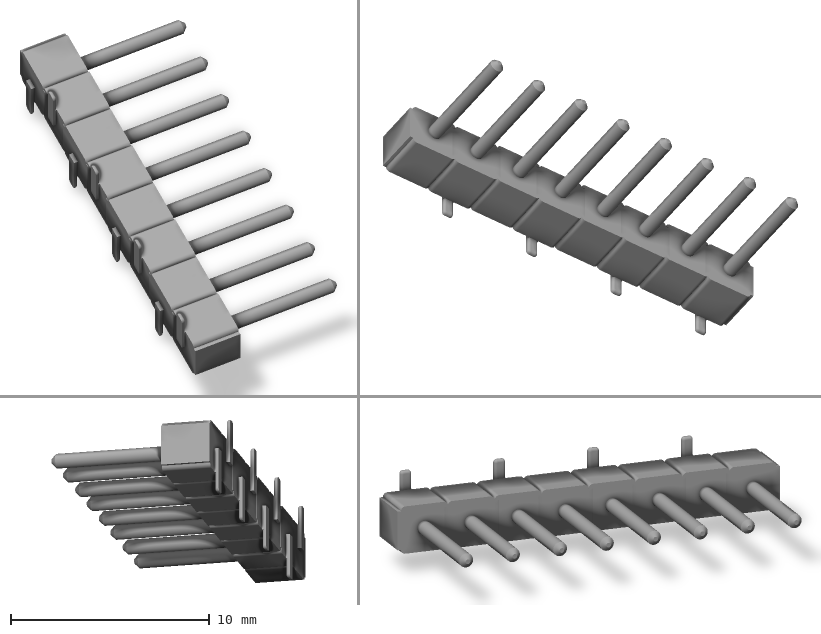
import cadquery as cq

MODULE_COUNT = 8
ROW_LENGTH = 20.68
TAB_LENGTH = 0.19
PITCH = (ROW_LENGTH - 2 * TAB_LENGTH) / MODULE_COUNT

STAGGER_Y = 0.02
STAGGER_Z = 0.02

BLOCK_HEIGHT = 2.5
BLOCK_DEPTH = 2.5
CORNER_RADIUS = 0.23
TAB_HEIGHT = BLOCK_HEIGHT - 2 * CORNER_RADIUS

PIN_DIAMETER = 0.75
PIN_LENGTH = 6.0
PIN_TIP_CHAMFER = 0.25

TAIL_WIDTH = 0.6
TAIL_THICKNESS = 0.2
TAIL_LENGTH = 2.25
TAIL_CORNER_RADIUS = 0.17
TAIL_BACK_RADIUS = 0.15

LEFT = -1
RIGHT = 1


def make_tab(side):
    """Tab bar along the depth of a block, reaching past the pitch on one side."""
    return (
        cq.Workplane("XY")
        .box(2 * TAB_LENGTH, BLOCK_DEPTH, TAB_HEIGHT, centered=(True, False, True))
        .translate((side * PITCH / 2, 0, 0))
    )


def make_block(tab_sides):
    """Block with rounded long edges, front face on Y = 0, and a tab on each listed side."""
    block = (
        cq.Workplane("XY")
        .box(PITCH, BLOCK_DEPTH, BLOCK_HEIGHT, centered=(True, False, True))
        .edges("|Y")
        .fillet(CORNER_RADIUS)
    )
    for side in tab_sides:
        block = block.union(make_tab(side))
    return block


def make_pin():
    """Round pin rising from the back face of the block, with a conical tip."""
    return (
        cq.Workplane("XZ", origin=(0, BLOCK_DEPTH, 0))
        .circle(PIN_DIAMETER / 2)
        .extrude(-PIN_LENGTH)
        .faces(">Y")
        .chamfer(PIN_TIP_CHAMFER)
    )


def make_tail():
    """Flat tail running down the front face and past the block's lower edge."""
    outside_length = TAIL_LENGTH - BLOCK_HEIGHT / 2
    upper = (
        cq.Workplane("XY")
        .box(TAIL_WIDTH, TAIL_THICKNESS, BLOCK_HEIGHT / 2, centered=(True, False, False))
        .translate((0, -TAIL_THICKNESS, -BLOCK_HEIGHT / 2))
    )
    lower = (
        cq.Workplane("XY")
        .box(TAIL_WIDTH, TAIL_THICKNESS, outside_length, centered=(True, False, False))
        .translate((0, -TAIL_THICKNESS, -TAIL_LENGTH))
        .edges("|Y and <Z")
        .fillet(TAIL_CORNER_RADIUS)
        .faces(">Y")
        .edges("not >Z")
        .fillet(TAIL_BACK_RADIUS)
    )
    return upper.union(lower)


def make_module(tab_sides):
    """Block, pin and down-turned tail as one solid."""
    return make_block(tab_sides).union(make_pin()).union(make_tail())


def module_x(index):
    """Centre of a module along the row, which is centred on X = 0."""
    return (index - (MODULE_COUNT - 1) / 2) * PITCH


def make_lower_module(index):
    """Module with its tail pointing down and a tab on both sides."""
    return make_module([LEFT, RIGHT]).translate(
        (module_x(index), -STAGGER_Y / 2, -STAGGER_Z / 2)
    )


def make_tab_notch(side):
    """Space taken by a neighbour's tab, open at both the front and the back."""
    return (
        cq.Workplane("XY")
        .box(2 * TAB_LENGTH, BLOCK_DEPTH + 2 * STAGGER_Y, TAB_HEIGHT, centered=(True, False, True))
        .translate((side * PITCH / 2, -STAGGER_Y, STAGGER_Z))
    )


def make_upper_module(index):
    """Module with its tail pointing up, notched on each side that meets a neighbour."""
    is_last = index == MODULE_COUNT - 1
    tab_sides = [RIGHT] if is_last else []
    notch_sides = [LEFT] if is_last else [LEFT, RIGHT]
    body = make_module(tab_sides)
    for side in notch_sides:
        body = body.cut(make_tab_notch(side))
    return body.mirror("XY").translate((module_x(index), STAGGER_Y / 2, STAGGER_Z / 2))


lower_modules = [make_lower_module(i) for i in range(0, MODULE_COUNT, 2)]
upper_modules = [make_upper_module(i) for i in range(1, MODULE_COUNT, 2)]

bodies = lower_modules + upper_modules
result = cq.Compound.makeCompound([body.solids().val() for body in bodies])